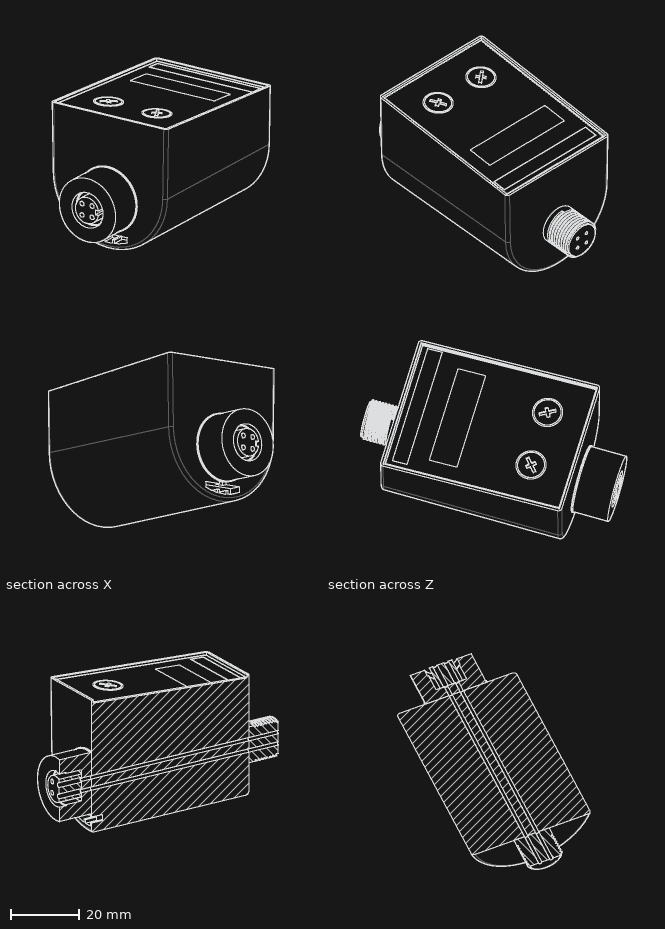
import cadquery as cq
import math

TOTAL_LENGTH = 77.35

HOUSING_LENGTH = 55.5
BOTTOM_RADIUS = 20.1
SIDE_DRAFT = 1.0
TOP_SLOPE = 4.0
BOTTOM_Z = -15.85
TOP_FRONT_Z = 26.15
EDGE_FILLET = 1.0
TOP_ALLOWANCE = 0.8

RIM_WIDTH = 0.8
RECESS_DEPTH = 0.9
PANEL_SIDE_GAP = 0.5
PANEL_FRONT_GAP = 0.2
PANEL_REAR_GAP = 0.55
PANEL_THICKNESS = 0.4
TOP_WIDTH = 41.0
TOP_LENGTH = HOUSING_LENGTH / math.cos(math.radians(TOP_SLOPE))
RECESS_WIDTH = TOP_WIDTH - 2 * RIM_WIDTH
RECESS_LENGTH = TOP_LENGTH - 2 * RIM_WIDTH
PANEL_LEVEL = PANEL_THICKNESS - RECESS_DEPTH

STRIP_WIDTH = 36.5
STRIP_X = 0.4
STRIP_LENGTH = 4.5
STRIP_POSITION = 50.35
STRIP_DEPTH = 0.1
DISPLAY_WIDTH = 29.8
DISPLAY_LENGTH = 8.5
DISPLAY_POSITION = 37.9
DISPLAY_CORNER = 0.3

TRIMMER_POSITION = 12.8
TRIMMER_SPACING = 17.1
TRIMMER_DIAMETER = 8.9
TRIMMER_HEAD_DIAMETER = 8.0
TRIMMER_HEAD_HEIGHT = 0.15
TRIMMER_DEPTH = 1.55
SLOT_ARMS = ((5.0, 0.85), (3.0, 0.9))
SLOT_DEPTH = 0.6
SLOT_ANGLES = {-1: 41.0, 1: 118.0}

REAR_LENGTH = 10.4
THREAD_RADIUS = 12.0 / 2
THREAD_ROOT_RADIUS = 5.6
THREAD_PITCH = 1.0
THREAD_START = 2.0
THREAD_CREST = 0.3
GROOVE_ROOT = 0.15
GROOVE_CLEARANCE = 0.1
TIP_RADIUS = 5.3
TIP_LENGTH = 0.55

COLLAR_LENGTH = 11.2
COLLAR_RADIUS = 10.0
BEAD_RADIUS = 10.2
BEAD_START = 0.15
BEAD_WIDTH = 0.4
SOCKET_RADIUS = 5.2
SOCKET_DEPTH = 7.7
MOUTH_RADIUS = 5.5
MOUTH_DEPTH = 2.3
INSERT_RADIUS = 4.1
INSERT_PROJECTION = TOTAL_LENGTH - REAR_LENGTH - HOUSING_LENGTH - COLLAR_LENGTH
KEY_WIDTH = 1.4
KEY_DEPTH = 1.15
KEY_LENGTH = 4.65
BORE_RADIUS = 0.5
INSERT_BORE_RADIUS = 0.7
BORE_OFFSET = 1.8
BORE_OVERRUN = 0.8

POCKET_WIDTH = 12.85
POCKET_TOP_Z = -10.9
POCKET_BOTTOM_WALL = 2.1
POCKET_DEPTH = 3.9
NECK_WIDTH = 2.6
NECK_TOP_Z = -9.9
NECK_DEPTH = 1.55
RIB_WIDTH = 0.7
RIB_INNER = NECK_WIDTH / 2
RIB_TOP_Z = -12.6


def cylinder_y(radius, start, end):
    """Cylinder on the connector axis between two Y positions."""
    solid = cq.Solid.makeCylinder(radius, end - start, cq.Vector(0, start, 0), cq.Vector(0, 1, 0))
    return cq.Workplane(obj=solid)


def on_top(level=0.0):
    """Workplane parallel to the sloped top, its Y running along the slope from the front edge."""
    slope = math.radians(TOP_SLOPE)
    normal = cq.Vector(0, math.sin(slope), math.cos(slope))
    origin = cq.Vector(0, 0, TOP_FRONT_Z) + normal * level
    return cq.Workplane(cq.Plane(origin=origin, xDir=(1, 0, 0), normal=normal))


def contact_bores(radius=BORE_RADIUS):
    """Four straight bores running through the whole length of the device."""
    start = -COLLAR_LENGTH - BORE_OVERRUN
    end = HOUSING_LENGTH + REAR_LENGTH + BORE_OVERRUN
    tool = cq.Workplane()
    for x in (-BORE_OFFSET, BORE_OFFSET):
        for z in (-BORE_OFFSET, BORE_OFFSET):
            bore = cylinder_y(radius, start, end)
            tool = tool.add(bore.translate((x, 0, z)))
    return tool.combine()


def housing_block():
    """U-shaped block with drafted sides, rounded end edges and a sloped top."""
    draft = math.radians(SIDE_DRAFT)
    centre_z = BOTTOM_Z + BOTTOM_RADIUS
    tangent_x = BOTTOM_RADIUS * math.cos(draft)
    tangent_z = centre_z - BOTTOM_RADIUS * math.sin(draft)
    top_z = TOP_FRONT_Z + TOP_ALLOWANCE
    top_x = tangent_x + (top_z - tangent_z) * math.tan(draft)
    block = (
        cq.Workplane("XZ")
        .moveTo(-top_x, top_z)
        .lineTo(-tangent_x, tangent_z)
        .threePointArc((0, BOTTOM_Z), (tangent_x, tangent_z))
        .lineTo(top_x, top_z)
        .close()
        .extrude(-HOUSING_LENGTH)
    )
    block = block.faces("<Y or >Y").edges("not (>Z)").fillet(EDGE_FILLET)
    above = on_top().rect(3 * TOP_WIDTH, 4 * TOP_LENGTH).extrude(TOP_FRONT_Z)
    return block.cut(above)


def pocket():
    """Curved pocket under the collar with a shallow neck above it and two small ribs on its floor."""
    centre_z = BOTTOM_Z + BOTTOM_RADIUS
    floor_radius = BOTTOM_RADIUS - POCKET_BOTTOM_WALL
    half = POCKET_WIDTH / 2
    side_z = centre_z - math.sqrt(floor_radius**2 - half**2)
    floor_z = centre_z - floor_radius
    body = (
        cq.Workplane("XZ")
        .moveTo(-half, POCKET_TOP_Z)
        .lineTo(-half, side_z)
        .threePointArc((0, floor_z), (half, side_z))
        .lineTo(half, POCKET_TOP_Z)
        .close()
        .extrude(-POCKET_DEPTH)
    )
    neck = (
        cq.Workplane("XZ")
        .center(0, (NECK_TOP_Z + POCKET_TOP_Z) / 2)
        .rect(NECK_WIDTH, NECK_TOP_Z - POCKET_TOP_Z)
        .extrude(-NECK_DEPTH)
    )
    rib_x = RIB_INNER + RIB_WIDTH / 2
    rib_z = (RIB_TOP_Z + BOTTOM_Z) / 2
    ribs = (
        cq.Workplane("XZ")
        .pushPoints([(-rib_x, rib_z), (rib_x, rib_z)])
        .rect(RIB_WIDTH, RIB_TOP_Z - BOTTOM_Z)
        .extrude(-POCKET_DEPTH)
    )
    return body.union(neck).cut(ribs)


def trimmer_barrels():
    """The full-width barrels of both trimmers, which also cut their seats."""
    return (
        on_top(PANEL_LEVEL)
        .pushPoints([(side * TRIMMER_SPACING / 2, TRIMMER_POSITION) for side in SLOT_ANGLES])
        .circle(TRIMMER_DIAMETER / 2)
        .extrude(-TRIMMER_DEPTH)
    )


def make_housing():
    recess = (
        on_top().center(0, TOP_LENGTH / 2).rect(RECESS_WIDTH, RECESS_LENGTH).extrude(-RECESS_DEPTH)
    )
    housing = housing_block().cut(recess).cut(trimmer_barrels())
    return housing.cut(pocket()).cut(contact_bores())


def make_display():
    return (
        on_top(PANEL_LEVEL)
        .center(0, DISPLAY_POSITION)
        .rect(DISPLAY_WIDTH, DISPLAY_LENGTH)
        .extrude(-PANEL_THICKNESS)
        .edges(cq.selectors.ParallelDirSelector(on_top().plane.zDir))
        .fillet(DISPLAY_CORNER)
    )


def make_panel():
    """Panel with a shallow label strip and openings for the display and the trimmers."""
    length = RECESS_LENGTH - PANEL_FRONT_GAP - PANEL_REAR_GAP
    panel = (
        on_top(PANEL_LEVEL)
        .center(0, RIM_WIDTH + PANEL_FRONT_GAP + length / 2)
        .rect(RECESS_WIDTH - 2 * PANEL_SIDE_GAP, length)
        .extrude(-PANEL_THICKNESS)
    )
    strip = (
        on_top(PANEL_LEVEL)
        .center(STRIP_X, STRIP_POSITION)
        .rect(STRIP_WIDTH, STRIP_LENGTH)
        .extrude(-STRIP_DEPTH)
    )
    return panel.cut(strip).cut(trimmer_barrels()).cut(make_display())


def make_trimmer(side):
    """Stepped round trimmer with a cross slot in its head."""
    head_level = PANEL_LEVEL + TRIMMER_HEAD_HEIGHT

    def centred(level):
        return on_top(level).center(side * TRIMMER_SPACING / 2, TRIMMER_POSITION)

    barrel = centred(PANEL_LEVEL).circle(TRIMMER_DIAMETER / 2).extrude(-TRIMMER_DEPTH)
    head = centred(head_level).circle(TRIMMER_HEAD_DIAMETER / 2).extrude(-TRIMMER_HEAD_HEIGHT)
    trimmer = barrel.union(head)
    for turn, (length, width) in zip((0, 90), SLOT_ARMS):
        arm = (
            centred(head_level)
            .transformed(rotate=(0, 0, SLOT_ANGLES[side] + turn))
            .rect(length, width)
            .extrude(-SLOT_DEPTH)
        )
        trimmer = trimmer.cut(arm)
    return trimmer


def thread_groove(length):
    """Right-handed trapezoidal groove winding up the Z axis from Z = 0."""
    helix = cq.Wire.makeHelix(THREAD_PITCH, length, THREAD_ROOT_RADIUS)
    half_root = GROOVE_ROOT / 2
    half_crest = (THREAD_PITCH - THREAD_CREST) / 2
    flank_slope = (half_crest - half_root) / (THREAD_RADIUS - THREAD_ROOT_RADIUS)
    half_outer = half_crest + flank_slope * GROOVE_CLEARANCE
    outer_radius = THREAD_RADIUS + GROOVE_CLEARANCE
    return (
        cq.Workplane("XZ")
        .polyline([
            (THREAD_ROOT_RADIUS, -half_root),
            (outer_radius, -half_outer),
            (outer_radius, half_outer),
            (THREAD_ROOT_RADIUS, half_root),
        ])
        .close()
        .sweep(cq.Workplane(obj=helix), isFrenet=True)
    )


def make_rear_connector():
    """Threaded connector, built along Z with the groove start at Z = 0 and then laid along +Y."""
    thread_length = REAR_LENGTH - THREAD_START - TIP_LENGTH
    shank = (
        cq.Workplane("XY")
        .workplane(offset=-THREAD_START)
        .circle(THREAD_RADIUS)
        .extrude(THREAD_START + thread_length)
    )
    tip = cq.Workplane("XY").workplane(offset=thread_length).circle(TIP_RADIUS).extrude(TIP_LENGTH)
    connector = (
        shank.cut(thread_groove(thread_length))
        .union(tip)
        .rotate((0, 0, 0), (1, 0, 0), -90)
        .rotate((0, 0, 0), (0, 1, 0), -90)
        .translate((0, HOUSING_LENGTH + THREAD_START, 0))
    )
    return connector.cut(contact_bores())


def make_collar():
    """Collar with a bead near the housing and a stepped socket."""
    collar = cylinder_y(COLLAR_RADIUS, -COLLAR_LENGTH, 0)
    bead = cylinder_y(BEAD_RADIUS, -BEAD_START - BEAD_WIDTH, -BEAD_START)
    socket = cylinder_y(SOCKET_RADIUS, -COLLAR_LENGTH, SOCKET_DEPTH - COLLAR_LENGTH)
    mouth = cylinder_y(MOUTH_RADIUS, -COLLAR_LENGTH, MOUTH_DEPTH - COLLAR_LENGTH)
    return collar.union(bead).cut(socket).cut(mouth).cut(contact_bores())


def make_insert():
    """Contact insert with a key notch on its +X side."""
    front = -COLLAR_LENGTH - INSERT_PROJECTION
    insert = cylinder_y(INSERT_RADIUS, front, SOCKET_DEPTH - COLLAR_LENGTH)
    key = (
        cq.Workplane("XY")
        .box(KEY_DEPTH, KEY_LENGTH, KEY_WIDTH, centered=(False, False, True))
        .translate((INSERT_RADIUS - KEY_DEPTH, front, 0))
    )
    return insert.cut(key).cut(contact_bores(INSERT_BORE_RADIUS))


housing = make_housing()
panel = make_panel()
display = make_display()
trimmers = [make_trimmer(side) for side in SLOT_ANGLES]
rear_connector = make_rear_connector()
collar = make_collar()
insert = make_insert()

result = cq.Compound.makeCompound([
    housing.val(),
    panel.val(),
    display.val(),
    *[trimmer.val() for trimmer in trimmers],
    rear_connector.val(),
    collar.val(),
    insert.val(),
])